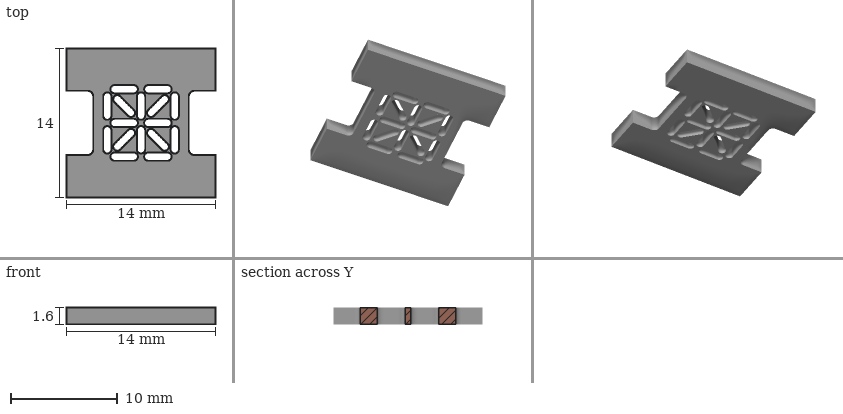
import cadquery as cq

side = 14
thickness = 1.6

notch_depth = 2.5
notch_width = 6.0
notch_radius = 0.5

slot_length = 2.56
slot_width = 0.75
cell_pitch = 3.16
cell_center = cell_pitch / 2


def make_plate():
    """Square plate with a round-cornered notch in the middle of two sides."""
    plate = cq.Workplane("XY").box(side, side, thickness)
    for sign in (-1, 1):
        notch = (
            cq.Workplane("XY")
            .center(sign * side / 2, 0)
            .rect(2 * notch_depth, notch_width)
            .extrude(thickness, both=True)
            .edges("|Z")
            .fillet(notch_radius)
        )
        plate = plate.cut(notch)
    return plate


def make_slots(centers, angle):
    """Cutters for through slots at the given centers, turned by angle in degrees."""
    return (
        cq.Workplane("XY")
        .pushPoints(centers)
        .slot2D(slot_length, slot_width, angle)
        .extrude(thickness, both=True)
    )


lines = (-cell_pitch, 0, cell_pitch)
middles = (-cell_center, cell_center)

horizontal_centers = [(x, y) for x in middles for y in lines]
vertical_centers = [(x, y) for x in lines for y in middles]
rising_centers = [(m, m) for m in middles]
falling_centers = [(m, -m) for m in middles]

result = make_plate()
result = result.cut(make_slots(horizontal_centers, 0))
result = result.cut(make_slots(vertical_centers, 90))
result = result.cut(make_slots(rising_centers, 45))
result = result.cut(make_slots(falling_centers, -45))